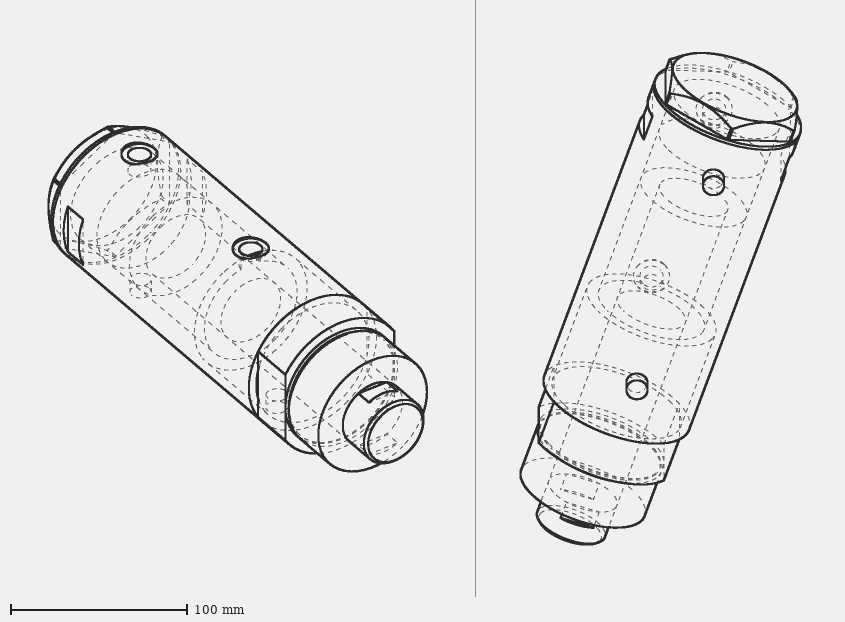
import cadquery as cq


body_dia = 88.0
wrench_width = 75.0
bore_dia = 64.0
rod_dia = 41.2

cap_flange_start = 12.5
barrel_start = 14.5
piston_start = 41.0
piston_end = 73.5
head_spigot_start = 149.0
barrel_end = 211.0
head_flange_end = 238.5
collar_end = 271.3
rod_end = 294.3

head_seat_dia = 77.7
port_positions = (37.0, head_spigot_start)
port_dia = 13.2
spotface_dia = 20.5
spotface_depth = 1.32
notch_start = 25.0
notch_length = 15.3
notch_depth = 3.0
pin_positions = (38.3, 174.8)
pin_dia = 12.0
pin_height = 8.5

hex_corner_dia = 86.0
hex_chamfer_length = 5.0
hex_face_dia = 74.5

collar_dia = 75.0
groove_width = 3.2
groove_depth = 1.5
groove_ramp = 1.2

rod_flat_width = 36.2
rod_flat_length = 10.5
rod_chamfer = 1.8


def cylinder_x(diameter, start, end):
    """Solid cylinder on the X axis between two stations."""
    return cq.Workplane("YZ", origin=(start, 0, 0)).circle(diameter / 2).extrude(end - start)


def side_flats(across_flats, start, end):
    """Pair of cutters that leave flats facing +Y and -Y."""
    size = body_dia
    middle = (start + end) / 2
    offset = (across_flats + size) / 2
    centres = [(middle, offset), (middle, -offset)]
    return cq.Workplane("XY").pushPoints(centres).box(end - start, size, size)


def make_barrel():
    barrel = cylinder_x(body_dia, barrel_start, barrel_end)

    pin_bottom = -body_dia / 2 - pin_height
    pin_root = -(body_dia + bore_dia) / 4
    for x in pin_positions:
        pin = cq.Workplane("XY", origin=(x, 0, pin_bottom)).circle(pin_dia / 2)
        barrel = barrel.union(pin.extrude(pin_root - pin_bottom))

    barrel = barrel.cut(cylinder_x(bore_dia, barrel_start, barrel_end))
    barrel = barrel.cut(cylinder_x(head_seat_dia, head_spigot_start, barrel_end))

    spotface_level = body_dia / 2 - spotface_depth
    for x in port_positions:
        barrel = barrel.cut(cq.Workplane("XY", origin=(x, 0, 0)).circle(port_dia / 2).extrude(body_dia))
        spotface = cq.Workplane("XY", origin=(x, 0, spotface_level)).circle(spotface_dia / 2)
        barrel = barrel.cut(spotface.extrude(body_dia))

    return barrel.cut(side_flats(body_dia - 2 * notch_depth, notch_start, notch_start + notch_length))


def make_cap():
    hexagon = cq.Workplane("YZ").polygon(6, wrench_width, circumscribed=True).extrude(cap_flange_start)
    turned_blank = (
        cq.Workplane("XY")
        .polyline([
            (0, 0),
            (0, hex_face_dia / 2),
            (hex_chamfer_length, hex_corner_dia / 2),
            (cap_flange_start, hex_corner_dia / 2),
            (cap_flange_start, 0),
        ])
        .close()
        .revolve(360, (0, 0, 0), (1, 0, 0))
    )
    cap = hexagon.intersect(turned_blank)

    cap = cap.union(cylinder_x(body_dia, cap_flange_start, barrel_start))
    return cap.union(cylinder_x(bore_dia, barrel_start, piston_start))


def make_guide_head():
    spigot = cylinder_x(head_seat_dia, head_spigot_start, barrel_end)
    flange = cylinder_x(body_dia, barrel_end, head_flange_end)
    flange = flange.cut(side_flats(wrench_width, barrel_end, head_flange_end))

    collar_radius = collar_dia / 2
    groove_radius = collar_radius - groove_depth
    groove_end = head_flange_end + groove_width
    collar = (
        cq.Workplane("XY")
        .polyline([
            (head_flange_end, 0),
            (head_flange_end, collar_radius),
            (head_flange_end + groove_ramp, groove_radius),
            (groove_end - groove_ramp, groove_radius),
            (groove_end, collar_radius),
            (collar_end, collar_radius),
            (collar_end, 0),
        ])
        .close()
        .revolve(360, (0, 0, 0), (1, 0, 0))
    )
    head = spigot.union(flange).union(collar)
    return head.cut(cylinder_x(rod_dia, head_spigot_start, collar_end))


def make_piston_rod():
    rod = cylinder_x(rod_dia, piston_start, rod_end).faces(">X").chamfer(rod_chamfer)
    rod = rod.union(cylinder_x(bore_dia, piston_start, piston_end))

    flats = side_flats(rod_flat_width, collar_end, collar_end + rod_flat_length)
    return rod.cut(flats.rotate((0, 0, 0), (1, 0, 0), 90))


barrel = make_barrel()
cap = make_cap()
guide_head = make_guide_head()
piston_rod = make_piston_rod()

result = cq.Compound.makeCompound([
    barrel.val(),
    cap.val(),
    guide_head.val(),
    piston_rod.val(),
])